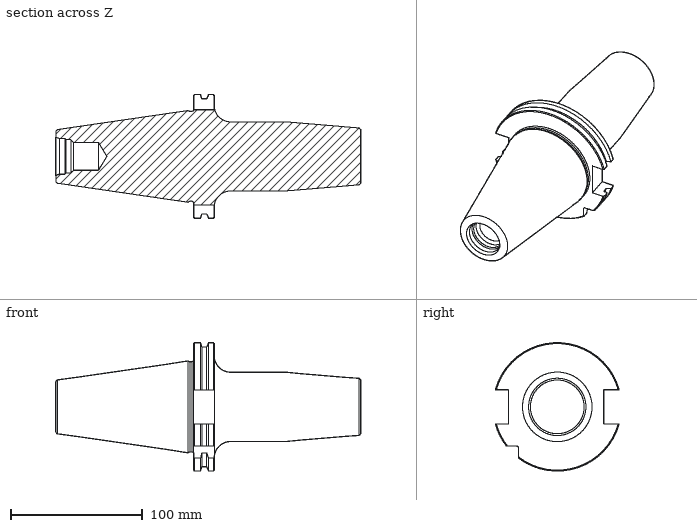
import cadquery as cq
import math

total_length = 231.5

taper_ratio = 7 / 24
gauge_radius = 35.0
taper_length = 100.3
taper_end_radius = gauge_radius - taper_length * taper_ratio / 2
taper_round_length = 1.5
taper_round_depth = 2.0
taper_round_bulge = 0.3

relief_floor_start = 102.0
relief_floor_end = 103.5
relief_radius = 34.3

flange_start = 104.7
flange_end = 120.5
flange_radius = 48.75
flange_chamfer = 0.7
groove_start = 110.0
groove_end = 116.0
groove_floor_start = 111.0
groove_floor_end = 114.6
groove_floor_radius = 45.6

neck_radius = 26.5
neck_start = 132.7
nose_start = 174.9
nose_end_radius = 21.8
nose_chamfer = 1.5
blend_radius = neck_start - flange_end
blend_top_radius = neck_radius + blend_radius

slot_width = 25.7
slot_floor_plus_y = 35.5
slot_floor_minus_y = 37.0

notch_wall_y = -29.5
notch_top_z = -29.9
notch_corner_radius = 1.5

mouth_radius = 14.4
bore_radius = 13.5
countersink_depth = 2.8
bore_end = 7.0
step_radius = 12.5
step_start = 7.9
step_end = 11.5
core_radius = 10.5
core_start = 13.7
core_end = 32.5
drill_tip_angle = 118


def make_body():
    """Revolve the outer outline about the X axis."""
    taper_round_radius = taper_end_radius + taper_round_length * taper_ratio / 2
    taper_round_middle = (
        taper_round_length * taper_round_bulge,
        taper_end_radius - taper_round_depth * taper_round_bulge,
    )
    mid_offset = blend_radius * math.sqrt(0.5)
    blend_middle = (neck_start - mid_offset, blend_top_radius - mid_offset)
    return (
        cq.Workplane("XY")
        .moveTo(0, 0)
        .lineTo(0, taper_end_radius - taper_round_depth)
        .threePointArc(
            taper_round_middle,
            (taper_round_length, taper_round_radius),
        )
        .lineTo(taper_length, gauge_radius)
        .lineTo(relief_floor_start, relief_radius)
        .lineTo(relief_floor_end, relief_radius)
        .lineTo(flange_start, gauge_radius)
        .lineTo(flange_start, flange_radius - flange_chamfer)
        .lineTo(flange_start + flange_chamfer, flange_radius)
        .lineTo(groove_start, flange_radius)
        .lineTo(groove_floor_start, groove_floor_radius)
        .lineTo(groove_floor_end, groove_floor_radius)
        .lineTo(groove_end, flange_radius)
        .lineTo(flange_end - flange_chamfer, flange_radius)
        .lineTo(flange_end, flange_radius - flange_chamfer)
        .lineTo(flange_end, blend_top_radius)
        .threePointArc(blend_middle, (neck_start, neck_radius))
        .lineTo(nose_start, neck_radius)
        .lineTo(total_length - nose_chamfer, nose_end_radius)
        .lineTo(total_length, nose_end_radius - nose_chamfer)
        .lineTo(total_length, 0)
        .close()
        .revolve(360, (0, 0, 0), (1, 0, 0))
    )


def flange_cutter(y_start, y_end, z_start, z_end):
    """Box between the given Y and Z limits, cutting the whole flange and the start of the blend."""
    size = (neck_start - flange_start, y_end - y_start, z_end - z_start)
    return cq.Workplane("XY").box(*size, centered=False).translate((flange_start, y_start, z_start))


def make_notch():
    """Corner notch with a rounded inner edge."""
    box = flange_cutter(-flange_radius, notch_wall_y, -flange_radius, notch_top_z)
    return box.edges("|X and >Y and >Z").fillet(notch_corner_radius)


def make_draw_bolt_hole():
    """Countersunk, stepped blind hole with a conical drill tip."""
    tip_length = core_radius / math.tan(math.radians(drill_tip_angle / 2))
    return (
        cq.Workplane("XY")
        .moveTo(0, 0)
        .lineTo(0, mouth_radius)
        .lineTo(countersink_depth, bore_radius)
        .lineTo(bore_end, bore_radius)
        .lineTo(step_start, step_radius)
        .lineTo(step_end, step_radius)
        .lineTo(core_start, core_radius)
        .lineTo(core_end, core_radius)
        .lineTo(core_end + tip_length, 0)
        .close()
        .revolve(360, (0, 0, 0), (1, 0, 0))
    )


half_slot = slot_width / 2
slot_plus_y = flange_cutter(slot_floor_plus_y, flange_radius, -half_slot, half_slot)
slot_minus_y = flange_cutter(-flange_radius, -slot_floor_minus_y, -half_slot, half_slot)

result = (
    make_body()
    .cut(slot_plus_y)
    .cut(slot_minus_y)
    .cut(make_notch())
    .cut(make_draw_bolt_hole())
)